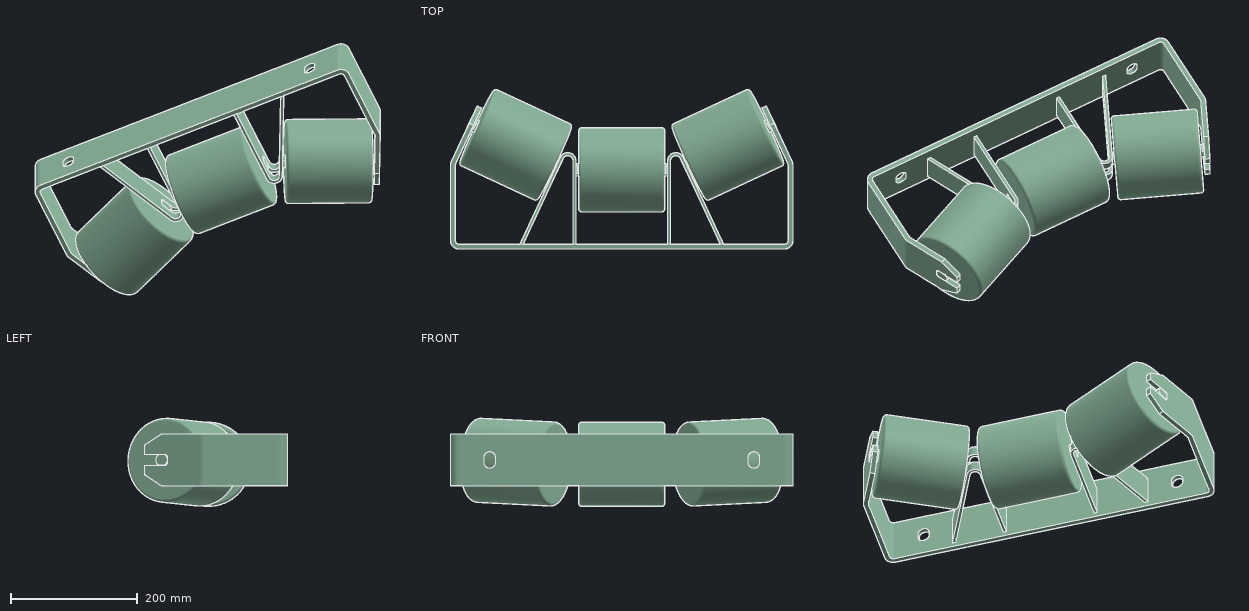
import cadquery as cq
import math


TROUGH_ANGLE = 25.0
FORWARD_TILT = 2.6

ROLLER_DIAMETER = 133.0
ROLLER_LENGTH = 136.0
ROLLER_EDGE_RADIUS = 5.0
AXLE_DIAMETER = 20.0
AXLE_FLATS = 16.0
BRACKET_GAP = 4.0
ARM_GAP = 5.0
FLAT_LEAD = 2.0

FRAME_WIDTH = 540.0
STRIP_HEIGHT = 82.0
FRAME_THICKNESS = 8.0
FRAME_BEND_RADIUS = 14.0
ARM_BEND_Y = 135.15
ARM_LENGTH = 100.0
ARM_TIP_HEIGHT = 46.0
ARM_TAPER_LENGTH = 30.0
AXLE_TO_TIP = 30.0

SLOT_WIDTH = 17.0
SLOT_CORNER_RADIUS = 4.0

MOUNT_SPACING = 416.0
MOUNT_SLOT_WIDTH = 18.0
MOUNT_SLOT_HEIGHT = 26.0

BRACKET_HEIGHT = 52.0
BRACKET_THICKNESS = 5.0
BRACKET_BEND_RADIUS = 13.0
MIDDLE_ROLLER_Y = 125.0

trough = math.radians(TROUGH_ANGLE)
tilt = math.radians(FORWARD_TILT)
arm_direction = (math.sin(trough), math.cos(trough))
inward = (math.cos(trough), -math.sin(trough))
bracket_offset = ROLLER_LENGTH / 2 + BRACKET_GAP
arm_offset = ROLLER_LENGTH / 2 + ARM_GAP


def moved(point, direction, distance):
    """Return the plan point moved along a plan direction."""
    return (point[0] + distance * direction[0], point[1] + distance * direction[1])


arm_bend = (-FRAME_WIDTH / 2, ARM_BEND_Y)
arm_tip = moved(arm_bend, arm_direction, ARM_LENGTH)
arm_axle = moved(arm_tip, arm_direction, -AXLE_TO_TIP)

arm_reach = arm_offset + FRAME_THICKNESS / 2
bracket_reach = bracket_offset + BRACKET_THICKNESS / 2
side_plan = moved(arm_axle, inward, FRAME_THICKNESS / 2 + arm_reach * math.cos(tilt))
side_center = (*side_plan, -arm_reach * math.sin(tilt))
middle_center = (0, MIDDLE_ROLLER_Y, -(arm_reach + bracket_reach) * math.sin(tilt))


def folded_strip(outer, thickness, height, bend_radius):
    """Upright strip along an outer-face polyline; the thickness lies to the left of the path."""
    directions = []
    for start, end in zip(outer, outer[1:]):
        length = math.dist(start, end)
        directions.append(((end[0] - start[0]) / length, (end[1] - start[1]) / length))

    inner = []
    for index, (x, y) in enumerate(outer):
        before = directions[max(index - 1, 0)]
        after = directions[min(index, len(directions) - 1)]
        spread = 1 + before[0] * after[0] + before[1] * after[1]
        inner.append((
            x - thickness * (before[1] + after[1]) / spread,
            y + thickness * (before[0] + after[0]) / spread,
        ))

    strip = (
        cq.Workplane("XY")
        .polyline(outer + inner[::-1])
        .close()
        .extrude(height / 2, both=True)
    )
    for corners, radius in ((outer, bend_radius), (inner, bend_radius - thickness)):
        for x, y in corners[1:-1]:
            strip = strip.edges("|Z").edges(cq.NearestToPointSelector((x, y, 0))).fillet(radius)
    return strip


def make_axle_end(support_offset, support_thickness):
    """Axle from the roller centre along +X, flatted where it sits in its support."""
    shoulder = cq.Workplane("YZ").circle(AXLE_DIAMETER / 2).extrude(support_offset - FLAT_LEAD)
    length = support_offset + support_thickness
    flatted = (
        cq.Workplane("YZ")
        .circle(AXLE_DIAMETER / 2)
        .extrude(length)
        .intersect(cq.Workplane("XY").box(2 * length, AXLE_DIAMETER, AXLE_FLATS))
    )
    return shoulder.union(flatted)


def make_roller(left_axle_end, right_axle_end):
    """Roller and axle in one piece, centred on the origin along X."""
    return (
        cq.Workplane("YZ", origin=(-ROLLER_LENGTH / 2, 0, 0))
        .circle(ROLLER_DIAMETER / 2)
        .extrude(ROLLER_LENGTH)
        .edges()
        .fillet(ROLLER_EDGE_RADIUS)
        .union(left_axle_end.mirror("YZ"))
        .union(right_axle_end)
    )


def make_middle_roller():
    """Level roller held between the two brackets."""
    axle_end = make_axle_end(bracket_offset, BRACKET_THICKNESS)
    return make_roller(axle_end, axle_end).translate(middle_center)


def make_left_roller():
    """Side roller, turned into the trough and raised at its outer end."""
    arm_end = make_axle_end(arm_offset, FRAME_THICKNESS)
    bracket_end = make_axle_end(bracket_offset, BRACKET_THICKNESS)
    return (
        make_roller(arm_end, bracket_end)
        .rotate((0, 0, 0), (0, 1, 0), FORWARD_TILT)
        .rotate((0, 0, 0), (0, 0, 1), -TROUGH_ANGLE)
        .translate(side_center)
    )


def slot_face(axle_point, along, through):
    """Plane on a support face at the axle: local X along the slot, normal through the plate."""
    return cq.Plane(origin=axle_point, xDir=(*along, 0), normal=(*through, 0))


def make_axle_slot(face, length, depth):
    """Cutter whose closed end touches the axle and whose other end lies beyond it."""
    closed_end = -AXLE_DIAMETER / 2
    return (
        cq.Workplane(face)
        .center((closed_end + length) / 2, 0)
        .rect(length - closed_end, SLOT_WIDTH)
        .extrude(depth)
        .faces(cq.DirectionMinMaxSelector(face.xDir, directionMax=False))
        .edges(cq.ParallelDirSelector(face.zDir))
        .fillet(SLOT_CORNER_RADIUS)
    )


def make_arm_cutter():
    """Open axle slot and tapered tip corners of the left arm."""
    face = slot_face((*arm_axle, 0), arm_direction, inward)
    cutter = make_axle_slot(face, AXLE_TO_TIP, FRAME_THICKNESS)
    taper_start = AXLE_TO_TIP - ARM_TAPER_LENGTH
    for side in (-1, 1):
        corner = (
            cq.Workplane(face)
            .moveTo(taper_start, side * STRIP_HEIGHT / 2)
            .lineTo(AXLE_TO_TIP, side * STRIP_HEIGHT / 2)
            .lineTo(AXLE_TO_TIP, side * ARM_TIP_HEIGHT / 2)
            .close()
            .extrude(FRAME_THICKNESS)
        )
        cutter = cutter.union(corner)
    return cutter


def make_frame():
    """Bent strip with slotted arms and mounting slots."""
    left_half = [arm_tip, arm_bend, (-FRAME_WIDTH / 2, 0)]
    right_half = [(-x, y) for x, y in left_half[::-1]]
    strip = folded_strip(left_half + right_half, FRAME_THICKNESS, STRIP_HEIGHT, FRAME_BEND_RADIUS)
    mount_slots = (
        cq.Workplane("XZ")
        .pushPoints([(-MOUNT_SPACING / 2, 0), (MOUNT_SPACING / 2, 0)])
        .slot2D(MOUNT_SLOT_HEIGHT, MOUNT_SLOT_WIDTH, 90)
        .extrude(-FRAME_THICKNESS)
    )
    arm_cutter = make_arm_cutter()
    return strip.cut(mount_slots).cut(arm_cutter).cut(arm_cutter.mirror("YZ"))


def make_left_bracket():
    """Folded plate with one open slot that runs over the fold into both legs."""
    foot_y = FRAME_THICKNESS
    upright_x = -bracket_offset
    slant_axle = moved(side_plan, inward, bracket_offset)
    slope = math.tan(trough)
    foot_x = slant_axle[0] - (slant_axle[1] - foot_y) * slope
    apex_y = foot_y + (upright_x - foot_x) / slope
    level = middle_center[2]

    overrun = BRACKET_THICKNESS
    path = [
        (upright_x, foot_y - overrun),
        (upright_x, apex_y),
        (foot_x - overrun * slope, foot_y - overrun),
    ]
    plate = folded_strip(path, BRACKET_THICKNESS, BRACKET_HEIGHT, BRACKET_BEND_RADIUS)
    trim = cq.Workplane("XY").box(FRAME_WIDTH, 2 * foot_y, BRACKET_HEIGHT)
    plate = plate.cut(trim).translate((0, 0, level))

    slot_length = apex_y - MIDDLE_ROLLER_Y
    upright_face = slot_face((upright_x, MIDDLE_ROLLER_Y, level), (0, 1), (-1, 0))
    slant_face = slot_face((*slant_axle, level), arm_direction, inward)
    for face in (upright_face, slant_face):
        plate = plate.cut(make_axle_slot(face, slot_length, BRACKET_BEND_RADIUS))
    return plate


frame = make_frame()
middle_roller = make_middle_roller()
left_roller = make_left_roller()
left_bracket = make_left_bracket()

bodies = [frame.val(), middle_roller.val()]
for left_body in (left_roller, left_bracket):
    bodies += [left_body.val(), left_body.mirror("YZ").val()]

result = cq.Compound.makeCompound(bodies)